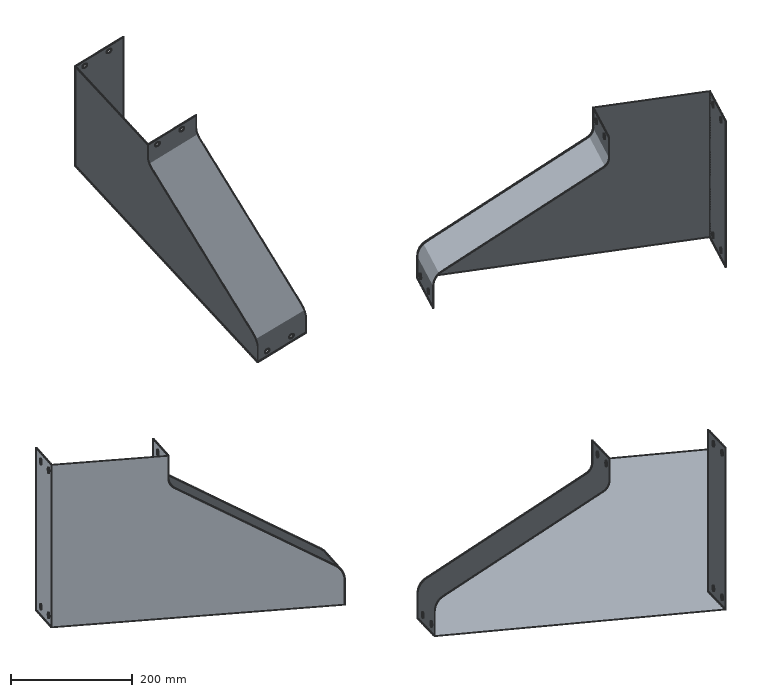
import cadquery as cq

length = 500.0
width = 100.0
height = 280.0
sheet = 1.0

step_x = 200.0
slope_top_z = 230.0
slope_bottom_z = 60.0
step_bend_radius = 20.0
end_bend_radius = 30.0

hole_diameter = 10.0
hole_edge_margin = 15.0
hole_y_positions = (20.0, 70.0)


def profile_block():
    """Solid block with the side panel's profile, filling the full width."""
    block = (
        cq.Workplane("XZ")
        .polyline(
            [
                (0, 0),
                (length, 0),
                (length, slope_bottom_z),
                (step_x, slope_top_z),
                (step_x, height),
                (0, height),
            ]
        )
        .close()
        .extrude(-width)
    )
    step_corner = cq.NearestToPointSelector((step_x, width / 2, slope_top_z))
    end_corner = cq.NearestToPointSelector((length, width / 2, slope_bottom_z))
    block = block.edges(step_corner).fillet(step_bend_radius)
    return block.edges(end_corner).fillet(end_bend_radius)


def bent_sheet():
    """Side panel, mounting flange and bent strip, open at the top, bottom and back."""
    block = profile_block()
    open_faces = block.faces(">Y or <Z or >Z")
    return open_faces.shell(-sheet)


def hole_row(z):
    """Row of drills along X, through the flange and the wall facing it."""
    return (
        cq.Workplane("YZ")
        .pushPoints([(y, z) for y in hole_y_positions])
        .circle(hole_diameter / 2)
        .extrude(length)
    )


result = bent_sheet()
for hole_z in (hole_edge_margin, height - hole_edge_margin):
    result = result.cut(hole_row(hole_z))